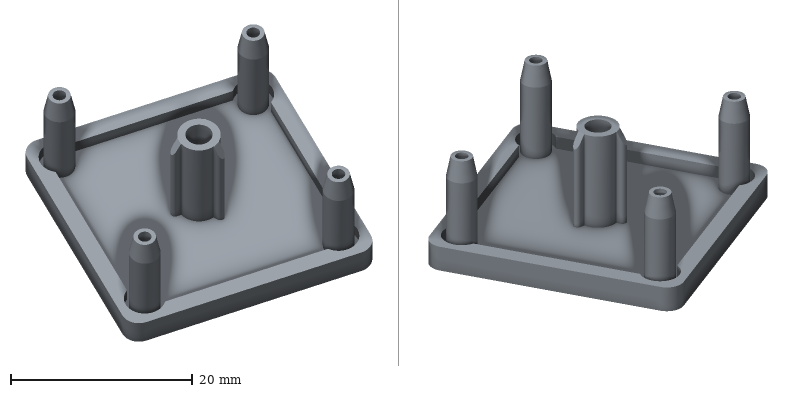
import cadquery as cq
import math

plate_side = 30.0
plate_height = 3.0
plate_corner_radius = 2.0
rim_width = 2.0
floor_thickness = 1.5
tray_side = plate_side - 2 * rim_width
tray_depth = plate_height - floor_thickness

total_height = 13.0
post_height = total_height - floor_thickness

pin_spacing_x = 23.3
pin_spacing_y = 23.4
pin_diameter = 3.5
pin_tip_diameter = 2.5
pin_taper_height = 2.5
pin_bore_diameter = 1.5
pin_relief_diameter = 4.6

sleeve_diameter = 4.8
sleeve_bore_diameter = 3.0
rib_count = 3
first_rib_angle = -90.0
rib_width = 1.0
rib_reach = 3.4
rib_slope_angle = 60.0


def make_plate():
    plate = cq.Workplane("XY").rect(plate_side, plate_side).extrude(plate_height)
    return plate.edges("|Z").fillet(plate_corner_radius)


def make_tray_cut():
    floor = cq.Workplane("XY").workplane(offset=floor_thickness)
    tray = floor.rect(tray_side, tray_side).extrude(tray_depth)
    reliefs = (
        floor.rect(pin_spacing_x, pin_spacing_y, forConstruction=True)
        .vertices()
        .circle(pin_relief_diameter / 2)
        .extrude(tray_depth)
    )
    return tray.union(reliefs)


def make_pin():
    """Hollow pin with a tapered tip, revolved about its own axis."""
    bore_radius = pin_bore_diameter / 2
    pin_radius = pin_diameter / 2
    profile = [
        (bore_radius, floor_thickness),
        (pin_radius, floor_thickness),
        (pin_radius, total_height - pin_taper_height),
        (pin_tip_diameter / 2, total_height),
        (bore_radius, total_height),
    ]
    return cq.Workplane("XZ").polyline(profile).close().revolve(360, (0, 0, 0), (0, 1, 0))


def make_rib():
    """Rib along +X with a rounded outer edge and a sloping top."""
    half_width = rib_width / 2
    straight_length = rib_reach - half_width
    rib = (
        cq.Workplane("XY")
        .workplane(offset=floor_thickness)
        .moveTo(0, -half_width)
        .lineTo(straight_length, -half_width)
        .threePointArc((rib_reach, 0), (straight_length, half_width))
        .lineTo(0, half_width)
        .close()
        .extrude(post_height)
    )
    sleeve_radius = sleeve_diameter / 2
    slope_drop = (rib_reach - sleeve_radius) * math.tan(math.radians(rib_slope_angle))
    slope_cut = (
        cq.Workplane("XZ")
        .moveTo(sleeve_radius, total_height)
        .lineTo(rib_reach, total_height)
        .lineTo(rib_reach, total_height - slope_drop)
        .close()
        .extrude(half_width, both=True)
    )
    return rib.cut(slope_cut)


def make_sleeve():
    floor = cq.Workplane("XY").workplane(offset=floor_thickness)
    sleeve = floor.circle(sleeve_diameter / 2).extrude(post_height)
    rib = make_rib()
    for index in range(rib_count):
        angle = first_rib_angle + index * 360 / rib_count
        sleeve = sleeve.union(rib.rotate((0, 0, 0), (0, 0, 1), angle))
    return sleeve.cut(floor.circle(sleeve_bore_diameter / 2).extrude(post_height))


result = make_plate().cut(make_tray_cut()).union(make_sleeve())
pin = make_pin()
for side_x in (-1, 1):
    for side_y in (-1, 1):
        pin_position = (side_x * pin_spacing_x / 2, side_y * pin_spacing_y / 2, 0)
        result = result.union(pin.translate(pin_position))